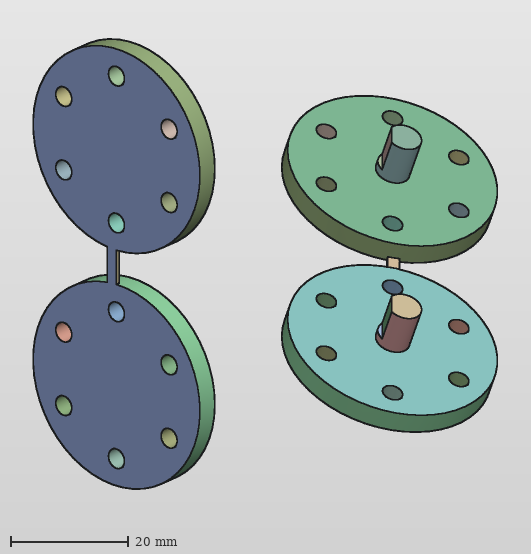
import cadquery as cq

total_height = 80.3
disc_diameter = 37.0
disc_thickness = 4.0
total_depth = 12.0

hole_count = 6
hole_diameter = 3.5
hole_circle_diameter = 27.0

pin_diameter = 6.0
flat_offset = 2.25
flat_start = 1.5

strip_width = 2.1
strip_thickness = 0.8

pin_length = total_depth - disc_thickness
disc_spacing = total_height - disc_diameter


def back_cylinder(diameter, start, length):
    """Cylinder about the Y axis, extending toward +Y from y = start."""
    return cq.Workplane("XZ", origin=(0, start, 0)).circle(diameter / 2).extrude(-length)


def make_disc():
    """Round plate with a ring of through holes, the first one at the top."""
    holes = (
        cq.Workplane("XZ")
        .polarArray(hole_circle_diameter / 2, 90, 360, hole_count)
        .circle(hole_diameter / 2)
        .extrude(-disc_thickness)
    )
    return back_cylinder(disc_diameter, 0, disc_thickness).cut(holes)


def make_pin():
    """Pin that is fully round at its base and flattened beyond it."""
    flat_cutter = cq.Workplane("XY").box(
        pin_diameter, pin_length, pin_diameter, centered=(False, False, True)
    ).translate((flat_offset, disc_thickness + flat_start, 0))
    return back_cylinder(pin_diameter, disc_thickness, pin_length).cut(flat_cutter)


def make_strip():
    """Strip with its +X edge on the centre line and its ends inside the discs."""
    gap = disc_spacing - disc_diameter
    end_overlap = 0.8
    strip = cq.Workplane("XY").box(
        strip_width, strip_thickness, gap + 2 * end_overlap, centered=(False, False, True)
    )
    return strip.translate((-strip_width, 0, 0))


pinned_disc = make_disc().union(make_pin())
result = make_strip()
for side in (-1, 1):
    result = result.union(pinned_disc.translate((0, 0, side * disc_spacing / 2)))